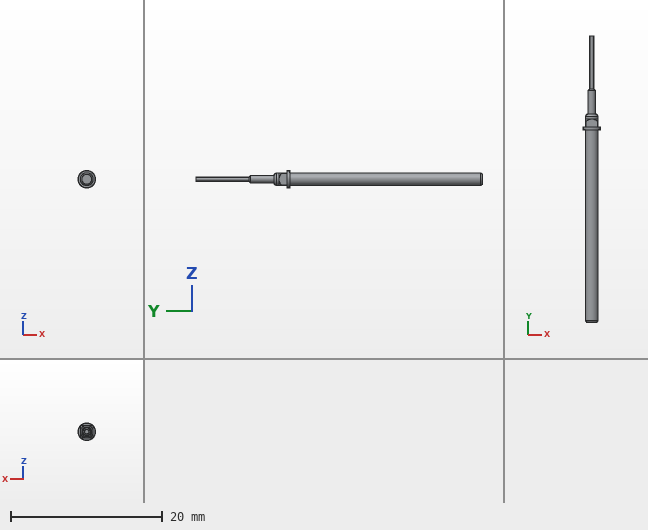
import cadquery as cq


total_length = 37.8
flange_thickness = 0.4
wire_length = 7.0
sleeve_length = 3.3
sleeve_chamfer = 0.2
head_length = 1.7
head_chamfer_length = 0.3
head_chamfer_depth = 0.2
collar_length = 0.35
barrel_chamfer_length = 0.25
barrel_chamfer_depth = 0.2

wire_diameter = 0.58
sleeve_diameter = 1.0
barrel_diameter = 1.7
flange_diameter = 2.3

head_flat_width = barrel_diameter
head_corner_diameter = flange_diameter

wire_radius = wire_diameter / 2
sleeve_radius = sleeve_diameter / 2
barrel_radius = barrel_diameter / 2
flange_radius = flange_diameter / 2
head_corner_radius = head_corner_diameter / 2

flange_front_y = flange_thickness
head_front_y = flange_front_y + head_length
sleeve_front_y = head_front_y + sleeve_length
wire_front_y = sleeve_front_y + wire_length
barrel_back_y = wire_front_y - total_length


def revolve_about_y(profile):
    """Turn a closed YZ half profile into a solid of revolution about the Y axis."""
    return profile.close().revolve(360, (0, 0, 0), (1, 0, 0))


def make_barrel():
    """Long round barrel with a chamfered back end."""
    return revolve_about_y(
        cq.Workplane("YZ")
        .moveTo(barrel_back_y, 0)
        .lineTo(barrel_back_y, barrel_radius - barrel_chamfer_depth)
        .lineTo(barrel_back_y + barrel_chamfer_length, barrel_radius)
        .lineTo(0, barrel_radius)
        .lineTo(0, 0)
    )


def make_flange():
    """Thin round flange between the barrel and the head."""
    return revolve_about_y(
        cq.Workplane("YZ")
        .lineTo(0, flange_radius)
        .lineTo(flange_front_y, flange_radius)
        .lineTo(flange_front_y, 0)
    )


def make_head():
    """Head with a chamfered front, a short round collar and a 45 degree cone, cut to a square."""
    collar_front_y = head_front_y - head_chamfer_length
    cone_front_y = collar_front_y - collar_length
    cone_back_y = cone_front_y - (head_corner_radius - barrel_radius)
    turned_head = revolve_about_y(
        cq.Workplane("YZ")
        .moveTo(flange_front_y, 0)
        .lineTo(flange_front_y, head_corner_radius)
        .lineTo(cone_back_y, head_corner_radius)
        .lineTo(cone_front_y, barrel_radius)
        .lineTo(collar_front_y, barrel_radius)
        .lineTo(head_front_y, barrel_radius - head_chamfer_depth)
        .lineTo(head_front_y, 0)
    )
    square_bar = cq.Workplane("XY").box(head_flat_width, head_length, head_flat_width)
    square_bar = square_bar.translate((0, flange_front_y + head_length / 2, 0))
    return turned_head.intersect(square_bar)


def make_sleeve():
    """Sleeve in front of the head with a chamfered front edge."""
    return revolve_about_y(
        cq.Workplane("YZ")
        .moveTo(head_front_y, 0)
        .lineTo(head_front_y, sleeve_radius)
        .lineTo(sleeve_front_y - sleeve_chamfer, sleeve_radius)
        .lineTo(sleeve_front_y, sleeve_radius - sleeve_chamfer)
        .lineTo(sleeve_front_y, 0)
    )


def make_wire():
    """Thin plain wire in front of the sleeve."""
    return revolve_about_y(
        cq.Workplane("YZ")
        .moveTo(sleeve_front_y, 0)
        .lineTo(sleeve_front_y, wire_radius)
        .lineTo(wire_front_y, wire_radius)
        .lineTo(wire_front_y, 0)
    )


result = (
    make_barrel()
    .union(make_flange())
    .union(make_head())
    .union(make_sleeve())
    .union(make_wire())
)